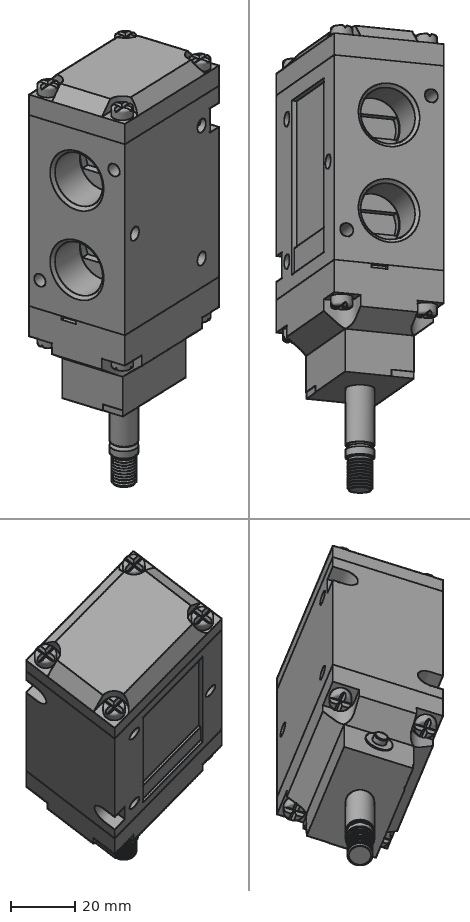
import cadquery as cq
import math

TOTAL_HEIGHT = 143.5
WIDTH = 36.5
LENGTH = 51.0
BODY_HEIGHT = 66.0
BODY_MIDDLE_Z = BODY_HEIGHT / 2

PORT_SPACING = 30.9
PORT_RADIUS = 9.0
PORT_RIM_RADIUS = 10.2
PORT_RIM_DEPTH = 1.0
PORT_DEPTH = 14.4
PORT_SLOT_RADIUS = 8.8
PORT_SLOT_HEIGHT = 7.3
PORT_SLOT_DEPTH = 2.9

FRONT_HOLE_RADIUS = 2.2
SIDE_HOLE_RADIUS = 2.3
HOLE_RISE = 23.0
FRONT_HOLE_X = 14.0
SIDE_HOLE_PAIR_Y = 16.1
SIDE_HOLE_SINGLE_Y = -20.1
NUT_SLOT_RADIUS = 4.2
NUT_SLOT_DEPTH = 4.9

LABEL_Y_MIN = -16.4
LABEL_Y_MAX = 11.9
LABEL_Z_MIN = 4.7
LABEL_Z_STEP = 13.3
LABEL_Z_MAX = 60.8
LABEL_DEPTH = 1.7
LABEL_STRIP_DEPTH = 0.9

COVER_WALL = 7.0
COVER_CROWN = 4.5
COVER_BEVEL_X = 4.2
COVER_BEVEL_Y = 4.6

SCREW_X = 14.0
SCREW_Y = 21.0
HEAD_RADIUS = 3.5
HEAD_HEIGHT = 3.5
HEAD_FILLET = 0.9
CROSS_WIDTH = 1.7
CROSS_DEPTH = 1.0
POCKET_RADIUS = 4.6

ADAPTER_POCKET_TOP = 10.5
ADAPTER_TAPER_TOP = 14.2
ADAPTER_HEIGHT = 19.5
NOTCH_X_MIN = -5.9
NOTCH_X_MAX = -0.5
NOTCH_HEIGHT = 1.3
NOTCH_DEPTH = 1.7

PILOT_WIDTH = 23.0
PILOT_LENGTH = 34.3
PILOT_BOTTOM = 33.3
STEP_HEIGHT = 2.2
STEP_DEPTH = 0.1
STEP_FRONT_WIDTH = 7.5
STEP_SIDE_WIDTH = 8.2
BUTTON_FLANGE_RADIUS = 4.5
BUTTON_FLANGE_HEIGHT = 0.5
BUTTON_RADIUS = 2.3
BUTTON_HEIGHT = 2.6
BUTTON_CHAMFER = 0.3

TUBE_DIAMETER = 9.0
TUBE_RADIUS = TUBE_DIAMETER / 2
GROOVE_TOP = 51.5
GROOVE_TOP_RADIUS = 4.0
GROOVE_RADIUS = 3.7
GROOVE_WAIST = 52.1
COLLAR_TOP = 53.1
COLLAR_BOTTOM = 55.8
COLLAR_CHAMFER = 0.3
NECK_RADIUS = 3.6
THREAD_CREST_RADIUS = 4.0
THREAD_ROOT_RADIUS = 3.5
THREAD_PITCH = 1.0
THREAD_TURNS = 9
THREAD_END = 0.3
TUBE_BOTTOM = TOTAL_HEIGHT - BODY_HEIGHT - COVER_WALL - COVER_CROWN
THREAD_TOP = TUBE_BOTTOM - THREAD_END - THREAD_TURNS * THREAD_PITCH

SIGNS = (-1, 1)


def box(x_min, x_max, y_min, y_max, z_min, z_max):
    """Box between the given limits."""
    size = (x_max - x_min, y_max - y_min, z_max - z_min)
    return cq.Workplane("XY").box(*size, centered=False).translate((x_min, y_min, z_min))


def cylinder(radius, length, start, direction):
    """Cylinder that begins at `start` and runs along `direction`."""
    return cq.Workplane(obj=cq.Solid.makeCylinder(radius, length, cq.Vector(*start), cq.Vector(*direction)))


def screw_head():
    """Round head with a rounded rim, standing on Z = 0, with two crossing V grooves in its top."""
    head = cylinder(HEAD_RADIUS, HEAD_HEIGHT, (0, 0, 0), (0, 0, 1)).faces(">Z").edges().fillet(HEAD_FILLET)
    for plane in ("XZ", "YZ"):
        groove = (
            cq.Workplane(plane)
            .polyline([
                (-CROSS_WIDTH / 2, HEAD_HEIGHT),
                (CROSS_WIDTH / 2, HEAD_HEIGHT),
                (0, HEAD_HEIGHT - CROSS_DEPTH),
            ])
            .close()
            .extrude(HEAD_RADIUS, both=True)
        )
        head = head.cut(groove)
    return head


def port(z):
    """Countersunk round port in the front face, with a round-ended slot in its floor."""
    front = -LENGTH / 2
    bore = cylinder(PORT_RADIUS, PORT_DEPTH, (0, front, z), (0, 1, 0))
    rim = cq.Workplane(obj=cq.Solid.makeCone(
        PORT_RIM_RADIUS, PORT_RADIUS, PORT_RIM_DEPTH, cq.Vector(0, front, z), cq.Vector(0, 1, 0)
    ))
    floor_slot = box(
        -PORT_SLOT_RADIUS, PORT_SLOT_RADIUS,
        front, front + PORT_DEPTH + PORT_SLOT_DEPTH,
        z - PORT_SLOT_HEIGHT / 2, z + PORT_SLOT_HEIGHT / 2,
    ).intersect(cylinder(PORT_SLOT_RADIUS, LENGTH, (0, front, z), (0, 1, 0)))
    return bore.union(rim).union(floor_slot)


def front_mounting_hole(x, z):
    """Hole through the body along Y, with a round-ended nut slot at the back, open to the nearer side."""
    back = LENGTH / 2
    side_x = math.copysign(WIDTH / 2, x)
    hole = cylinder(FRONT_HOLE_RADIUS, LENGTH, (x, -back, z), (0, 1, 0))
    slot_end = cylinder(NUT_SLOT_RADIUS, NUT_SLOT_DEPTH, (x, back, z), (0, -1, 0))
    slot = box(
        min(x, side_x), max(x, side_x),
        back - NUT_SLOT_DEPTH, back,
        z - NUT_SLOT_RADIUS, z + NUT_SLOT_RADIUS,
    )
    return hole.union(slot_end).union(slot)


def label_recess():
    """Recess in the -X face whose lower strip is shallower."""
    face = -WIDTH / 2
    panel = box(face, face + LABEL_DEPTH, LABEL_Y_MIN, LABEL_Y_MAX, LABEL_Z_STEP, LABEL_Z_MAX)
    strip = box(face, face + LABEL_STRIP_DEPTH, LABEL_Y_MIN, LABEL_Y_MAX, LABEL_Z_MIN, LABEL_Z_STEP)
    return panel.union(strip)


def make_body():
    """Valve body with two ports, the mounting holes and the label recess."""
    body = box(-WIDTH / 2, WIDTH / 2, -LENGTH / 2, LENGTH / 2, 0, BODY_HEIGHT)
    for sign in SIGNS:
        body = body.cut(port(BODY_MIDDLE_Z + sign * PORT_SPACING / 2))
        body = body.cut(front_mounting_hole(sign * FRONT_HOLE_X, BODY_MIDDLE_Z + sign * HOLE_RISE))
    side_holes = [
        (SIDE_HOLE_PAIR_Y, BODY_MIDDLE_Z - HOLE_RISE),
        (SIDE_HOLE_PAIR_Y, BODY_MIDDLE_Z + HOLE_RISE),
        (SIDE_HOLE_SINGLE_Y, BODY_MIDDLE_Z),
    ]
    for y, z in side_holes:
        body = body.cut(cylinder(SIDE_HOLE_RADIUS, WIDTH, (-WIDTH / 2, y, z), (1, 0, 0)))
    return body.cut(label_recess())


def tapered_block(bottom_size, top_size, height):
    """Block standing on Z = 0 that tapers from one rectangle to another."""
    return (
        cq.Workplane("XY")
        .rect(*bottom_size)
        .workplane(offset=height)
        .rect(*top_size)
        .loft(ruled=True)
    )


def make_cover():
    """Bevelled cover with a round screw pocket, open to the front or back, at each corner."""
    shoulder = BODY_HEIGHT + COVER_WALL
    top = shoulder + COVER_CROWN
    cover = box(-WIDTH / 2, WIDTH / 2, -LENGTH / 2, LENGTH / 2, BODY_HEIGHT, shoulder)
    crown = tapered_block(
        (WIDTH, LENGTH), (WIDTH - 2 * COVER_BEVEL_X, LENGTH - 2 * COVER_BEVEL_Y), COVER_CROWN
    )
    cover = cover.union(crown.translate((0, 0, shoulder)))
    for x_sign in SIGNS:
        for y_sign in SIGNS:
            x = x_sign * SCREW_X
            y = y_sign * SCREW_Y
            round_pocket = cylinder(POCKET_RADIUS, COVER_CROWN, (x, y, shoulder), (0, 0, 1))
            edge_y = y_sign * LENGTH / 2
            open_side = box(
                x - POCKET_RADIUS, x + POCKET_RADIUS, min(y, edge_y), max(y, edge_y), shoulder, top
            )
            cover = cover.cut(round_pocket).cut(open_side)
            cover = cover.union(screw_head().translate((x, y, shoulder)))
    return cover


def make_adapter():
    """Adapter plate that tapers down to the pilot valve, with a screw in a pocket at each corner."""
    adapter = box(-WIDTH / 2, WIDTH / 2, -LENGTH / 2, LENGTH / 2, -ADAPTER_TAPER_TOP, 0)
    taper = tapered_block(
        (PILOT_WIDTH, PILOT_LENGTH), (WIDTH, LENGTH), ADAPTER_HEIGHT - ADAPTER_TAPER_TOP
    )
    adapter = adapter.union(taper.translate((0, 0, -ADAPTER_HEIGHT)))

    pocket_reach = POCKET_RADIUS + WIDTH / 2
    pocket_depth = ADAPTER_HEIGHT - ADAPTER_POCKET_TOP
    head = screw_head().rotate((0, 0, 0), (1, 0, 0), 180)
    for x_sign in SIGNS:
        for y_sign in SIGNS:
            x = x_sign * SCREW_X
            y = y_sign * SCREW_Y
            pocket = (
                cq.Workplane("XY")
                .box(pocket_reach, pocket_reach, pocket_depth)
                .edges("|Z")
                .fillet(POCKET_RADIUS)
                .translate((
                    x + x_sign * (pocket_reach / 2 - POCKET_RADIUS),
                    y + y_sign * (pocket_reach / 2 - POCKET_RADIUS),
                    -ADAPTER_POCKET_TOP - pocket_depth / 2,
                ))
            )
            adapter = adapter.cut(pocket)
            adapter = adapter.union(head.translate((x, y, -ADAPTER_POCKET_TOP)))

    notch = box(
        NOTCH_X_MIN, NOTCH_X_MAX, -LENGTH / 2, -LENGTH / 2 + NOTCH_DEPTH, -NOTCH_HEIGHT, 0
    )
    return adapter.cut(notch)


def core_tube():
    """Turned tube with a retaining groove, a collar and a thread built as a row of ridges."""
    profile = [
        (0, -PILOT_BOTTOM),
        (TUBE_RADIUS, -PILOT_BOTTOM),
        (TUBE_RADIUS, -GROOVE_TOP),
        (GROOVE_TOP_RADIUS, -GROOVE_TOP),
        (GROOVE_RADIUS, -GROOVE_WAIST),
        (TUBE_RADIUS, -COLLAR_TOP),
        (TUBE_RADIUS, -COLLAR_BOTTOM + COLLAR_CHAMFER),
        (TUBE_RADIUS - COLLAR_CHAMFER, -COLLAR_BOTTOM),
        (NECK_RADIUS, -COLLAR_BOTTOM),
        (NECK_RADIUS, -THREAD_TOP),
    ]
    for turn in range(THREAD_TURNS):
        ridge_top = -THREAD_TOP - turn * THREAD_PITCH
        profile.append((THREAD_ROOT_RADIUS, ridge_top))
        profile.append((THREAD_CREST_RADIUS, ridge_top - THREAD_PITCH / 2))
    profile += [
        (THREAD_ROOT_RADIUS, -THREAD_TOP - THREAD_TURNS * THREAD_PITCH),
        (THREAD_ROOT_RADIUS, -TUBE_BOTTOM),
        (0, -TUBE_BOTTOM),
    ]
    return cq.Workplane("XZ").polyline(profile).close().revolve(360, (0, 0, 0), (0, 1, 0))


def override_button():
    """Flanged round button on the back face of the pilot valve, just below the adapter."""
    z = -ADAPTER_HEIGHT - BUTTON_FLANGE_RADIUS
    back = PILOT_LENGTH / 2
    flange = cylinder(BUTTON_FLANGE_RADIUS, BUTTON_FLANGE_HEIGHT, (0, back, z), (0, 1, 0))
    button = cylinder(BUTTON_RADIUS, BUTTON_HEIGHT, (0, back, z), (0, 1, 0))
    return flange.union(button.faces(">Y").chamfer(BUTTON_CHAMFER))


def make_pilot_valve():
    """Pilot valve: a block with two shallow bottom steps, a button and the core tube."""
    right = PILOT_WIDTH / 2
    back = PILOT_LENGTH / 2
    pilot = box(-right, right, -back, back, -PILOT_BOTTOM, -ADAPTER_HEIGHT)
    step_top = -PILOT_BOTTOM + STEP_HEIGHT
    front_step = box(
        right - STEP_FRONT_WIDTH, right, -back, -back + STEP_DEPTH, -PILOT_BOTTOM, step_top
    )
    side_step = box(
        -right, -right + STEP_DEPTH, back - STEP_SIDE_WIDTH, back, -PILOT_BOTTOM, step_top
    )
    pilot = pilot.cut(front_step).cut(side_step)
    return pilot.union(override_button()).union(core_tube())


body = make_body()
cover = make_cover()
adapter = make_adapter()
pilot_valve = make_pilot_valve()

result = cq.Compound.makeCompound([body.val(), cover.val(), adapter.val(), pilot_valve.val()])